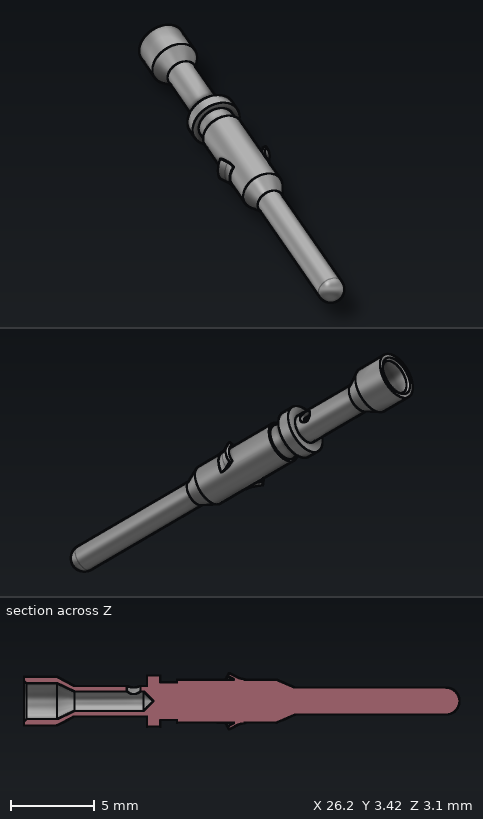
import cadquery as cq
import math

TOTAL_LENGTH = 26.2

BELL_END = 2.0
BARREL_START = 3.03
COLLAR_START = 7.4
COLLAR_END = 8.2
SLEEVE_START = 9.2
SLEEVE_END = 15.2
PIN_START = 16.3

BELL_RADIUS = 1.475
BARREL_RADIUS = 0.925
COLLAR_RADIUS = 1.55
NECK_RADIUS = 1.15
SLEEVE_RADIUS = 1.3
PIN_RADIUS = 0.825

ENTRY_RADIUS = 1.22
BORE_RADIUS = 1.07
WIRE_RADIUS = 0.58
ENTRY_DEPTH = ENTRY_RADIUS - BORE_RADIUS
WIRE_BORE_END = 7.2
DRILL_POINT_ANGLE = 90.0

INSPECTION_X = 6.6
INSPECTION_DIAMETER = 0.8

TAB_ROOT_X = 13.27
TAB_ROOT_RISE = 0.04
TAB_OUTER_RADIUS = SLEEVE_RADIUS + TAB_ROOT_RISE
TAB_REACH = 3.42 / 2
TAB_ANGLE = 28.0
TAB_BEND_RADIUS = 0.95
TAB_THICKNESS = 0.22
TAB_WIDTH = 1.56


def make_body():
    """Turned outside shape with a hemispherical pin tip."""
    tip_start = TOTAL_LENGTH - PIN_RADIUS
    tip_mid = PIN_RADIUS * math.sqrt(0.5)
    return (
        cq.Workplane("XY")
        .moveTo(0, 0)
        .lineTo(0, BELL_RADIUS)
        .lineTo(BELL_END, BELL_RADIUS)
        .lineTo(BARREL_START, BARREL_RADIUS)
        .lineTo(COLLAR_START, BARREL_RADIUS)
        .lineTo(COLLAR_START, COLLAR_RADIUS)
        .lineTo(COLLAR_END, COLLAR_RADIUS)
        .lineTo(COLLAR_END, NECK_RADIUS)
        .lineTo(SLEEVE_START, NECK_RADIUS)
        .lineTo(SLEEVE_START, SLEEVE_RADIUS)
        .lineTo(SLEEVE_END, SLEEVE_RADIUS)
        .lineTo(PIN_START, PIN_RADIUS)
        .lineTo(tip_start, PIN_RADIUS)
        .threePointArc((tip_start + tip_mid, tip_mid), (TOTAL_LENGTH, 0))
        .close()
        .revolve(360, (0, 0, 0), (1, 0, 0))
    )


def make_bore():
    """Countersunk, funnel-shaped wire bore ending in a drill point."""
    point_depth = WIRE_RADIUS / math.tan(math.radians(DRILL_POINT_ANGLE / 2))
    return (
        cq.Workplane("XY")
        .moveTo(0, 0)
        .lineTo(0, ENTRY_RADIUS)
        .lineTo(ENTRY_DEPTH, BORE_RADIUS)
        .lineTo(BELL_END, BORE_RADIUS)
        .lineTo(BARREL_START, WIRE_RADIUS)
        .lineTo(WIRE_BORE_END, WIRE_RADIUS)
        .lineTo(WIRE_BORE_END + point_depth, 0)
        .close()
        .revolve(360, (0, 0, 0), (1, 0, 0))
    )


def make_inspection_hole():
    """Radial hole from the bore axis out through the +Y side."""
    return (
        cq.Workplane("XZ", origin=(INSPECTION_X, 0, 0))
        .circle(INSPECTION_DIAMETER / 2)
        .extrude(-BELL_RADIUS)
    )


def make_tab_section():
    """Cross-section of the tab at its root: a ring slice with radial sides, slightly proud of the sleeve."""
    half_angle = math.asin(TAB_WIDTH / 2 / TAB_OUTER_RADIUS)
    inner_radius = TAB_OUTER_RADIUS - TAB_THICKNESS

    def corner(radius, side):
        return (radius * math.cos(half_angle), side * radius * math.sin(half_angle))

    return (
        cq.Workplane("YZ", origin=(TAB_ROOT_X, 0, 0))
        .moveTo(*corner(TAB_OUTER_RADIUS, -1))
        .threePointArc((TAB_OUTER_RADIUS, 0), corner(TAB_OUTER_RADIUS, 1))
        .lineTo(*corner(inner_radius, 1))
        .threePointArc((inner_radius, 0), corner(inner_radius, -1))
        .close()
    )


def make_tab():
    """Spring tab on +Y: a curved strip bent outward toward the wire end."""
    angle = math.radians(TAB_ANGLE)
    bend_center_y = TAB_OUTER_RADIUS + TAB_BEND_RADIUS
    bend_rise = TAB_BEND_RADIUS * (1 - math.cos(angle))
    straight_length = (TAB_REACH - TAB_OUTER_RADIUS - bend_rise) / math.sin(angle)

    bend = make_tab_section().revolve(TAB_ANGLE, (bend_center_y, 0), (bend_center_y, -1))
    straight = make_tab_section().extrude(-straight_length)
    straight = straight.rotate(
        (TAB_ROOT_X, bend_center_y, 0), (TAB_ROOT_X, bend_center_y, 1), -TAB_ANGLE
    )
    return bend.union(straight)


tab = make_tab()
result = make_body().union(tab).union(tab.mirror("XZ"))
result = result.cut(make_bore()).cut(make_inspection_hole())